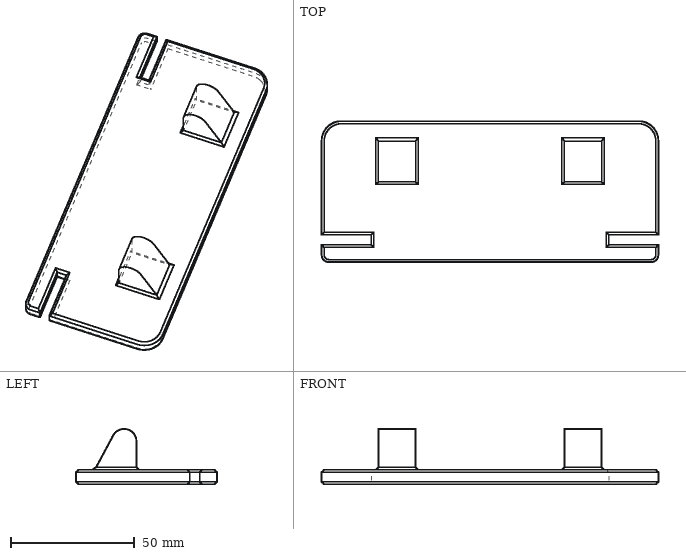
import cadquery as cq
import math

length = 136.0
width = 57.0
thickness = 6.0
edge_chamfer = 1.1
back_corner_radius = 8.0
front_corner_radius = 3.0

slot_depth = 20.0
slot_width = 4.0
slot_offset = 7.1

total_height = 22.5
hook_width = 15.0
hook_spacing = 75.1
hook_front = 32.5
hook_tip_radius = 5.0
hook_run = 16.3

foot_height = 1.0
foot_flare = 1.0
foot_back_flare = 1.5

front_y = -width / 2


def make_plate():
    plate = cq.Workplane("XY").box(length, width, thickness, centered=(True, True, False))
    plate = plate.edges("|Z and >Y").fillet(back_corner_radius)
    plate = plate.edges("|Z and <Y").fillet(front_corner_radius)
    slot_y = front_y + slot_offset + slot_width / 2
    for side in (-1, 1):
        slot = (
            cq.Workplane("XY")
            .center(side * length / 2, slot_y)
            .rect(2 * slot_depth, slot_width)
            .extrude(thickness)
        )
        plate = plate.cut(slot)
    return plate.faces("<Z or >Z").edges().chamfer(edge_chamfer)


def make_hook(center_x):
    face_y = front_y + hook_front
    toe_y = face_y + hook_run
    toe_z = thickness + foot_height
    tip_y = face_y + hook_tip_radius
    tip_z = total_height - hook_tip_radius

    toe_distance = math.hypot(toe_y - tip_y, toe_z - tip_z)
    toe_angle = math.atan2(toe_z - tip_z, toe_y - tip_y)
    tangent_angle = toe_angle + math.acos(hook_tip_radius / toe_distance)
    tangent_y = tip_y + hook_tip_radius * math.cos(tangent_angle)
    tangent_z = tip_z + hook_tip_radius * math.sin(tangent_angle)

    body = (
        cq.Workplane("YZ", origin=(center_x, 0, 0))
        .moveTo(face_y, toe_z)
        .lineTo(toe_y, toe_z)
        .lineTo(tangent_y, tangent_z)
        .threePointArc((tip_y, total_height), (face_y, tip_z))
        .close()
        .extrude(hook_width / 2, both=True)
    )
    foot_run = hook_run + foot_flare + foot_back_flare
    foot_y = face_y - foot_flare + foot_run / 2
    hook_y = face_y + hook_run / 2
    foot = (
        cq.Workplane("XY", origin=(center_x, foot_y, thickness))
        .rect(hook_width + 2 * foot_flare, foot_run)
        .workplane(offset=foot_height)
        .center(0, hook_y - foot_y)
        .rect(hook_width, hook_run)
        .loft(ruled=True)
    )
    return body.union(foot)


result = make_plate()
for side in (-1, 1):
    result = result.union(make_hook(side * hook_spacing / 2))